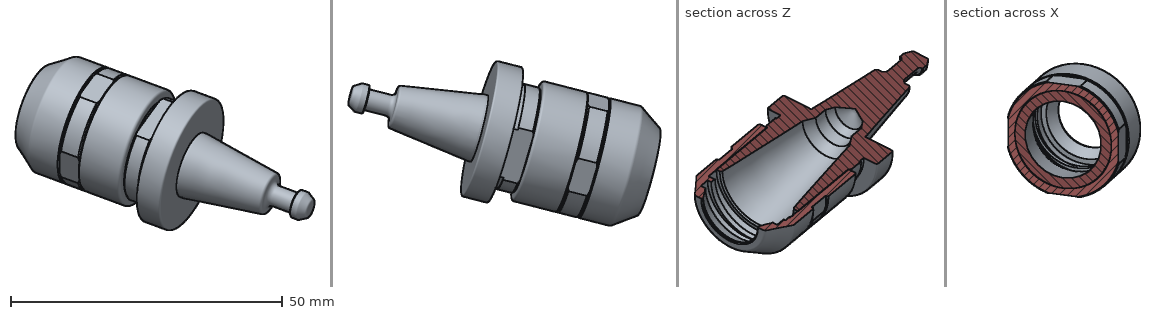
import cadquery as cq
import math


nose_front = 8.15
nose_radius = 9.5
nut_length = 23.4

nut_radius = 11.4
nut_cone_length = 4.55
nut_cone_angle = 35
nut_cone_rounding = 0.85
nut_rear_rounding = 0.5
band_start = 10.75
band_width = 4.05
notch_depth = 0.2
notch_land_width = 0.2
notch_band_width = 0.3
spanner_flat_count = 4
spanner_flat_distance = 10.9

mouth_radius = 6.45
mouth_chamfer = 0.2
mouth_land_end = 0.4
collet_cone_angle = 30
collet_cone_end_radius = 7.9
collet_groove_radius = 8.9
collet_ring_start = 4.8
collet_ring_radius = 8.7
collet_ring_offset = 0.6
collet_ring_end = 5.95

collar_radius = 10.05
collar_chamfer = 0.35
collar_length = 3.1
relief_radius = 9.8
collar_flat_count = 2
collar_flat_distance = 8.5
flange_start = 27.6
flange_width = 4.95
flange_radius = 12.9
flange_rounding = 0.35
shank_radius = 6.35
shank_land_length = 0.5
shank_end = 48.95
shank_slope = 7 / 24
shank_rounding = 0.5

knob_neck_radius = 2.0
knob_neck_root_rounding = 1.0
knob_start = 54.15
knob_radius = 2.75
knob_front_chamfer = 0.15
knob_front_rounding = 0.35
knob_cone_start = 55.6
knob_end = 57.1
knob_end_radius = 1.8
knob_shoulder_rounding = 0.35
knob_end_rounding = 0.45

seat_radius = 8.35
seat_chamfer = 0.35
seat_angle = 8
seat_end_radius = 5.5
bore_cone_angle = 30
bore_step_radius = 4.15
bore_step_length = 2.85
bore_end_radius = 3.2
drill_point_angle = 118


def cone_length(radius_change, half_angle):
    """Axial length over which a cone changes its radius by the given amount."""
    return radius_change / math.tan(math.radians(half_angle))


def rounded_corner(before, corner, after, rounding):
    """Start, middle and end of the arc that rounds a profile corner."""
    point = cq.Vector(*corner[:2])
    toward_before = (cq.Vector(*before[:2]) - point).normalized()
    toward_after = (cq.Vector(*after[:2]) - point).normalized()
    half_angle = toward_before.getAngle(toward_after) / 2
    tangent_length = rounding / math.tan(half_angle)
    bisector = (toward_before + toward_after).normalized()
    middle = point + bisector * (rounding / math.sin(half_angle) - rounding)
    return point + toward_before * tangent_length, middle, point + toward_after * tangent_length


def turned(profile):
    """Revolve a closed profile of (x, radius[, corner rounding]) points about the X axis."""
    outline = cq.Workplane("XZ").moveTo(*profile[0][:2])
    for index in range(1, len(profile)):
        corner = profile[index]
        if len(corner) == 2:
            outline = outline.lineTo(*corner)
        else:
            after = profile[(index + 1) % len(profile)]
            start, middle, end = rounded_corner(profile[index - 1], corner, after, corner[2])
            outline = outline.lineTo(start.x, start.y).threePointArc(middle.toTuple()[:2], end.toTuple()[:2])
    return outline.close().revolve(360, (0, 0, 0), (1, 0, 0))


def cut_flats(body, start, length, distance, count):
    """Cut flats parallel to the X axis, evenly spaced around it, the first facing +Z."""
    cutter_width = 2 * flange_radius
    cutter = cq.Workplane("XY").box(length, cutter_width, flange_radius, centered=(False, True, False))
    cutter = cutter.translate((start, 0, distance))
    for index in range(count):
        body = body.cut(cutter.rotate((0, 0, 0), (1, 0, 0), index * 360 / count))
    return body


def cut_ring_opening(nut):
    """Widen the collet ring to a circle offset toward -Y, which leaves its lip deepest on the +Y side."""
    opening = cq.Workplane("YZ").center(-collet_ring_offset, 0).circle(collet_ring_radius)
    opening = opening.extrude(collet_ring_end - collet_ring_start)
    return nut.cut(opening.translate((collet_ring_start, 0, 0)))


def make_nut():
    """Clamping nut, open at both ends, with its front face at X = 0."""
    face_radius = nut_radius - nut_cone_length * math.tan(math.radians(nut_cone_angle))
    collet_cone_end = mouth_land_end + cone_length(collet_cone_end_radius - mouth_radius, collet_cone_angle)
    band_end = band_start + band_width
    notch_radius = nut_radius - notch_depth
    ring_tightest_radius = collet_ring_radius - collet_ring_offset
    front = [
        (0, mouth_radius + mouth_chamfer),
        (0, face_radius, nut_cone_rounding),
        (nut_cone_length, nut_radius, nut_cone_rounding),
    ]
    spanner_band = [
        (band_start - notch_land_width, nut_radius),
        (band_start, notch_radius),
        (band_start + notch_band_width, nut_radius),
        (band_end - notch_band_width, nut_radius),
        (band_end, notch_radius),
        (band_end + notch_land_width, nut_radius),
    ]
    rear = [
        (nut_length, nut_radius, nut_rear_rounding),
        (nut_length, nose_radius),
    ]
    inside = [
        (collet_ring_end, nose_radius),
        (collet_ring_end, ring_tightest_radius),
        (collet_ring_start, ring_tightest_radius),
        (collet_ring_start, collet_groove_radius),
        (collet_cone_end, collet_groove_radius),
        (collet_cone_end, collet_cone_end_radius),
        (mouth_land_end, mouth_radius),
        (mouth_chamfer, mouth_radius),
    ]
    nut = turned(front + spanner_band + rear + inside)
    nut = cut_ring_opening(nut)
    return cut_flats(nut, band_start, band_width, spanner_flat_distance, spanner_flat_count)


def make_holder():
    """Holder with the collet bore in its nose and the retention knob at its rear end."""
    collar_end = nut_length + collar_length
    flange_end = flange_start + flange_width
    taper_start = flange_end + shank_land_length
    shank_end_radius = shank_radius - (shank_end - taper_start) * shank_slope / 2
    seat_start = nose_front + seat_chamfer
    seat_end = seat_start + cone_length(seat_radius - seat_end_radius, seat_angle)
    bore_step_start = seat_end + cone_length(seat_end_radius - bore_step_radius, bore_cone_angle)
    bore_step_end = bore_step_start + bore_step_length
    bore_end = bore_step_end + cone_length(bore_step_radius - bore_end_radius, bore_cone_angle)
    bore_tip = bore_end + cone_length(bore_end_radius, drill_point_angle / 2)
    nose_and_flange = [
        (nose_front, seat_radius + seat_chamfer),
        (nose_front, nose_radius),
        (nut_length, nose_radius),
        (nut_length, collar_radius - collar_chamfer),
        (nut_length + collar_chamfer, collar_radius),
        (collar_end, collar_radius),
        (collar_end, relief_radius),
        (flange_start, relief_radius),
        (flange_start, flange_radius, flange_rounding),
        (flange_end, flange_radius, flange_rounding),
    ]
    shank = [
        (flange_end, shank_radius),
        (taper_start, shank_radius),
        (shank_end, shank_end_radius, shank_rounding),
    ]
    knob = [
        (shank_end, knob_neck_radius, knob_neck_root_rounding),
        (knob_start, knob_neck_radius, knob_front_rounding),
        (knob_start, knob_radius - knob_front_chamfer),
        (knob_start + knob_front_chamfer, knob_radius),
        (knob_cone_start, knob_radius, knob_shoulder_rounding),
        (knob_end, knob_end_radius, knob_end_rounding),
        (knob_end, 0),
    ]
    bore = [
        (bore_tip, 0),
        (bore_end, bore_end_radius),
        (bore_step_end, bore_step_radius),
        (bore_step_start, bore_step_radius),
        (seat_end, seat_end_radius),
        (seat_start, seat_radius),
    ]
    holder = turned(nose_and_flange + shank + knob + bore)
    return cut_flats(holder, nut_length, flange_start - nut_length, collar_flat_distance, collar_flat_count)


nut = make_nut()
holder = make_holder()
result = cq.Compound.makeCompound([nut.val(), holder.val()])